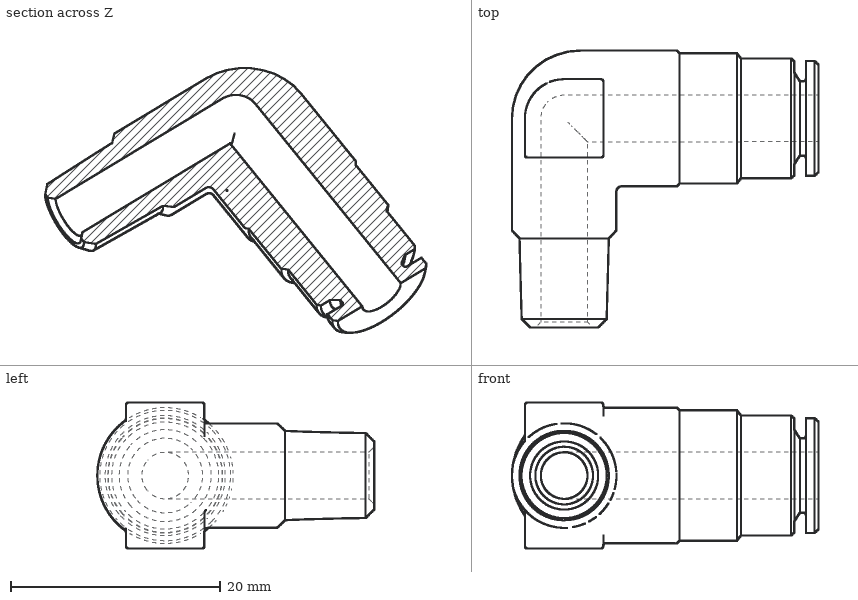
import cadquery as cq

overall_length = 29.35
overall_depth = 26.5
overall_height = 14.0

body_radius = 13.0 / 2
body_chamfer = 0.23
body_end = 11.05

sleeve_radius = 12.5 / 2
sleeve_chamfer = 0.38
sleeve_end = 16.9
nose_radius = 11.5 / 2
nose_chamfer = 0.3
nose_end = 22.0

stem_radius = 10.0 / 2
shoulder_start = -10.7
shoulder_length = 0.75
taper_start_radius = 4.29
taper_end_radius = 4.08
tip_chamfer = 0.82
stem_end = body_radius - overall_depth

neck_cone_radius = 4.4
neck_cone_length = 0.53
neck_radius = 3.58
neck_fillet = 0.2
collar_radius = 11.0 / 2
collar_chamfer = 0.38
collar_thickness = 1.23
collar_end = overall_length - stem_radius
collar_start = collar_end - collar_thickness

bore_radius = 2.23
countersink_depth = 0.53

lug_width = 7.5
lug_height = overall_height / 2
lug_edge_radius = 0.25
lug_root_radius = 0.2

chamfer_blend_radius = 0.15

elbow_root_radius = 0.5

ball_centre = body_radius - stem_radius

lug_reach = lug_width / 2 + 0.05


def make_body():
    """Ball end and stepped barrel, turned about X, up to the nose face."""
    profile = (
        cq.Workplane("XY")
        .moveTo(-stem_radius, 0)
        .radiusArc((ball_centre, body_radius), body_radius)
        .lineTo(body_end - body_chamfer, body_radius)
        .lineTo(body_end, sleeve_radius)
        .lineTo(sleeve_end - sleeve_chamfer, sleeve_radius)
        .lineTo(sleeve_end, nose_radius)
        .lineTo(nose_end - nose_chamfer, nose_radius)
        .lineTo(nose_end, nose_radius - nose_chamfer)
        .lineTo(nose_end, 0)
        .close()
    )
    return profile.revolve(360, (0, 0, 0), (1, 0, 0))


def make_stem():
    """Cylindrical stem with a shoulder and a tapered, chamfered tip, turned about Y."""
    profile = (
        cq.Workplane("XY")
        .lineTo(stem_radius, 0)
        .lineTo(stem_radius, shoulder_start)
        .lineTo(taper_start_radius, shoulder_start - shoulder_length)
        .lineTo(taper_end_radius, stem_end + tip_chamfer)
        .lineTo(taper_end_radius - tip_chamfer, stem_end)
        .lineTo(0, stem_end)
        .close()
    )
    return profile.revolve(360, (0, 0, 0), (0, 1, 0))


def make_collar():
    """Conical neck and release collar, turned about X."""
    profile = (
        cq.Workplane("XY")
        .moveTo(nose_end, 0)
        .lineTo(nose_end, neck_cone_radius)
        .lineTo(nose_end + neck_cone_length, neck_radius)
        .lineTo(collar_start - neck_fillet, neck_radius)
        .radiusArc((collar_start, neck_radius + neck_fillet), -neck_fillet)
        .lineTo(collar_start, collar_radius)
        .lineTo(collar_end - collar_chamfer, collar_radius)
        .lineTo(collar_end, collar_radius - collar_chamfer)
        .lineTo(collar_end, 0)
        .close()
    )
    return profile.revolve(360, (0, 0, 0), (1, 0, 0))


def make_lug(softened_corners):
    """Square lug rising from the axes: one quarter-round corner, the selected corners softened."""
    return (
        cq.Workplane("XY")
        .rect(lug_width, lug_width)
        .extrude(lug_height)
        .edges("|Z and <X and >Y")
        .fillet(lug_width / 2)
        .edges(softened_corners)
        .fillet(lug_edge_radius)
        .faces(">Z")
        .edges()
        .fillet(lug_edge_radius)
    )


def make_bore():
    """Countersunk stem bore that turns round a ball corner into a through bore along X."""
    stem_bore = cq.Workplane("XZ").circle(bore_radius).extrude(-stem_end)
    body_bore = cq.Workplane("YZ").circle(bore_radius).extrude(collar_end)
    corner = cq.Workplane("XY").sphere(bore_radius)
    countersink = (
        cq.Workplane("XY")
        .moveTo(0, stem_end)
        .lineTo(bore_radius + countersink_depth, stem_end)
        .lineTo(bore_radius, stem_end + countersink_depth)
        .lineTo(0, stem_end + countersink_depth)
        .close()
        .revolve(360, (0, 0, 0), (0, 1, 0))
    )
    return stem_bore.union(body_bore).union(corner).union(countersink)


def round_elbow_root(part):
    """Round the inner corner where the stem leaves the body, in front of the lugs."""
    corner_edges = cq.selectors.BoxSelector(
        (-ball_centre, -body_radius, -stem_radius),
        (stem_radius, -lug_reach, stem_radius),
    )
    return part.edges(corner_edges).fillet(elbow_root_radius)


def round_lug_roots(part):
    """Round the foot of each lug, leaving its upright and outer edges alone."""
    foot_low = stem_radius / 2
    foot_high = lug_height - 1.5 * lug_edge_radius
    upper_foot = cq.selectors.BoxSelector(
        (-lug_reach, -lug_reach, foot_low),
        (lug_reach, lug_reach, foot_high),
    )
    lower_foot = cq.selectors.BoxSelector(
        (-lug_reach, -lug_reach, -foot_high),
        (lug_reach, lug_reach, -foot_low),
    )
    return part.edges("not |Z").edges(upper_foot + lower_foot).fillet(lug_root_radius)


def blend_chamfers(part):
    """Blend the body and stem cylinders into their end chamfers."""
    margin = 0.03
    rim_centres = [(body_end - body_chamfer, 0, 0), (0, shoulder_start, 0)]
    for x, y, z in rim_centres:
        rim = cq.selectors.BoxSelector(
            (x - margin, y - margin, z - margin),
            (x + margin, y + margin, z + margin),
        )
        part = part.edges("%CIRCLE").edges(rim).fillet(chamfer_blend_radius)
    return part


upper_lug = make_lug("(|Z and <Y) or (|Z and >X)")
lower_lug = make_lug("|Z and >X").mirror("XY")

elbow = make_body().union(make_stem()).union(upper_lug).union(lower_lug)
elbow = round_elbow_root(elbow)
elbow = round_lug_roots(elbow)
elbow = blend_chamfers(elbow)

result = elbow.union(make_collar()).cut(make_bore())